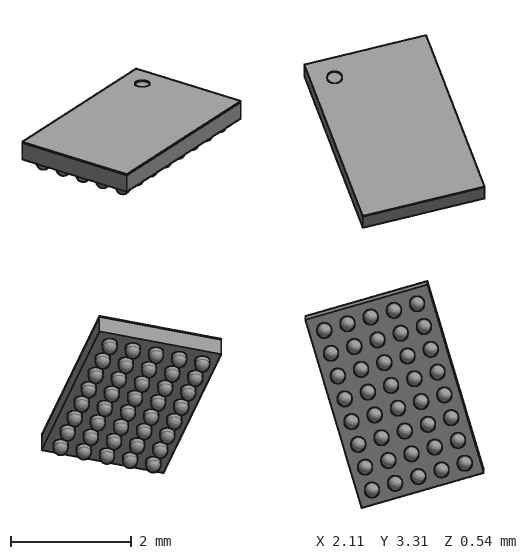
import cadquery as cq


package_width = 2.11
package_length = 3.31
overall_height = 0.54

film_thickness = 0.023
die_thickness = 0.305

bump_columns = 5
bump_rows = 8
bump_pitch = 0.4
bump_radius = 0.122
bump_height = overall_height - die_thickness - film_thickness
bump_neck_height = 0.07
bump_dome_height = bump_height - bump_neck_height

mark_diameter = 0.25
mark_inset = 0.4
mark_x = mark_inset - package_width / 2
mark_y = package_length / 2 - mark_inset


def make_layer(bottom, thickness):
    """Rectangular layer covering the whole package outline."""
    return (
        cq.Workplane("XY")
        .workplane(offset=bottom)
        .rect(package_width, package_length)
        .extrude(thickness)
    )


def make_bump(x, y):
    """Solder bump hanging from the underside of the die."""
    profile = (
        cq.Workplane("XZ")
        .lineTo(-bump_radius, 0)
        .lineTo(-bump_radius, -bump_neck_height)
        .ellipseArc(bump_radius, bump_dome_height, 180, 270, startAtCurrent=True)
        .close()
    )
    bump = profile.revolve(360, (0, 0, 0), (0, 1, 0))
    return bump.translate((x, y, 0))


def make_bumped_die():
    """Die with its grid of solder bumps, as one solid."""
    die = make_layer(0, die_thickness)
    for column in range(bump_columns):
        x = (column - (bump_columns - 1) / 2) * bump_pitch
        for row in range(bump_rows):
            y = (row - (bump_rows - 1) / 2) * bump_pitch
            die = die.union(make_bump(x, y))
    return die


def make_film():
    """Backside film with the pin-one opening."""
    film = make_layer(die_thickness, film_thickness)
    top = film.faces(">Z").workplane(origin=(0, 0, 0))
    return top.center(mark_x, mark_y).hole(mark_diameter)


bumped_die = make_bumped_die()
film = make_film()

result = cq.Compound.makeCompound([bumped_die.solids().val(), film.solids().val()])